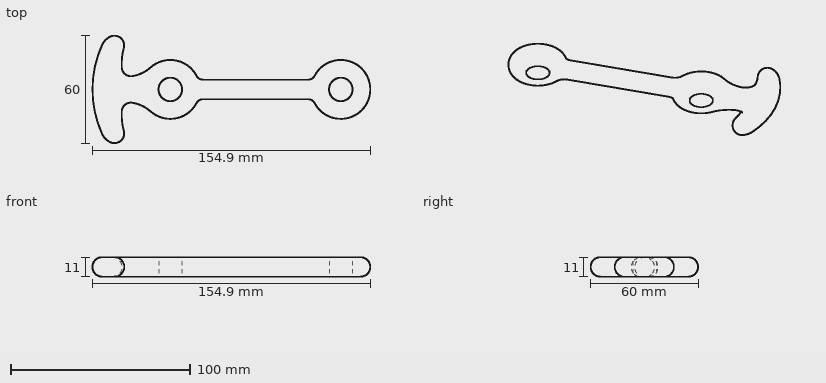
import cadquery as cq
import math


THICKNESS = 11.0
RIM = THICKNESS / 2
OVERALL_LENGTH = 154.94
HANDLE_WIDTH = 60.0
TOUCHING = 1e-6

EYE_SPACING = 95.0
EYE_RADIUS = 16.5
HOLE_DIAMETER = 13.0
NECK_FILLET = 4.0

GRIP_RADIUS = 60.0
SHOULDER_RADIUS = 10.0
TIP_X = -31.15
UNDERSIDE_RADIUS = 30.0
THROAT_RADIUS = 5.0
THROAT_X = -22.0
THROAT_Y = 12.4
WAIST_RADIUS = 20.0

eye_core = EYE_RADIUS - RIM
neck_core = NECK_FILLET + RIM
grip_core = GRIP_RADIUS - RIM
shoulder_core = SHOULDER_RADIUS - RIM
underside_core = UNDERSIDE_RADIUS + RIM
throat_core = THROAT_RADIUS + RIM
waist_core = WAIST_RADIUS + RIM


def circle_crossing(center_a, radius_a, center_b, radius_b):
    """Crossing of two circles that lies to the left of the direction from a to b."""
    dx = center_b[0] - center_a[0]
    dy = center_b[1] - center_a[1]
    distance = math.hypot(dx, dy)
    along = (radius_a**2 - radius_b**2 + distance**2) / (2 * distance)
    across = math.sqrt(radius_a**2 - along**2)
    ux = dx / distance
    uy = dy / distance
    return (center_a[0] + along * ux - across * uy, center_a[1] + along * uy + across * ux)


def heading(start, end):
    """Direction from start to end, in degrees from 0 to 360."""
    return math.degrees(math.atan2(end[1] - start[1], end[0] - start[0])) % 360


def polar(center, radius, angle):
    """Point on a circle at an angle in degrees."""
    turn = math.radians(angle)
    return (center[0] + radius * math.cos(turn), center[1] + radius * math.sin(turn))


left_eye = (0.0, 0.0)
right_eye = (EYE_SPACING, 0.0)
neck_reach = math.sqrt((eye_core + neck_core) ** 2 - neck_core**2)
neck_center = (neck_reach, neck_core)
far_neck_center = (EYE_SPACING - neck_reach, neck_core)
tip = (TIP_X, HANDLE_WIDTH / 2 - RIM)
grip_end_x = EYE_SPACING + EYE_RADIUS - OVERALL_LENGTH
grip_center = (grip_end_x + GRIP_RADIUS, 0.0)
shoulder_center = circle_crossing(grip_center, grip_core - shoulder_core, tip, shoulder_core)
throat_center = (THROAT_X, THROAT_Y)
throat_wall_x = THROAT_X - throat_core
underside_x = throat_wall_x + underside_core
underside_drop = math.sqrt(underside_core**2 - (underside_x - TIP_X) ** 2)
underside_center = (underside_x, tip[1] - underside_drop)
waist_center = circle_crossing(throat_center, waist_core - throat_core, left_eye, eye_core + waist_core)

neck_angle = heading(left_eye, neck_center)
waist_angle = heading(left_eye, waist_center)
throat_angle = heading(waist_center, throat_center)
underside_angle = heading(underside_center, tip)
shoulder_angle = heading(shoulder_center, tip)
grip_angle = heading(grip_center, shoulder_center)


def mirrored(arc):
    """The same core arc on the -Y side, running the opposite way."""
    center, radius, start, end, hollow = arc
    return ((center[0], -center[1]), radius, -end, -start, hollow)


handle_side = [
    (neck_center, neck_core, 270, 180 + neck_angle, True),
    (left_eye, eye_core, neck_angle, waist_angle, False),
    (waist_center, waist_core, 180 + waist_angle, throat_angle, True),
    (throat_center, throat_core, throat_angle, 180, True),
    (underside_center, underside_core, 180, underside_angle, True),
    (tip, 0, underside_angle - 180, shoulder_angle, False),
    (shoulder_center, shoulder_core, shoulder_angle, grip_angle, False),
    (grip_center, grip_core, grip_angle, 180, False),
]
handle_loop = handle_side + [mirrored(arc) for arc in reversed(handle_side)]

far_neck = (far_neck_center, neck_core, 360 - neck_angle, 270, True)
far_eye = (right_eye, eye_core, neck_angle - 180, 180 - neck_angle, False)
far_eye_loop = [mirrored(far_neck), far_eye, far_neck]


def core_plate(loop):
    """Full-thickness plate inside a closed loop of core arcs, joined by lines where they do not touch."""
    arcs = [arc for arc in loop if arc[1] > 0]
    center, radius, start, _, _ = arcs[0]
    position = polar(center, radius, start)
    outline = cq.Workplane("XY", origin=(0, 0, -RIM)).moveTo(*position)
    for center, radius, start, end, _ in arcs:
        begin = polar(center, radius, start)
        if math.dist(position, begin) > TOUCHING:
            outline = outline.lineTo(*begin)
        position = polar(center, radius, end)
        outline = outline.threePointArc(polar(center, radius, (start + end) / 2), position)
    return outline.close().extrude(THICKNESS)


def half_round(plane, base, outward):
    """Half-disc profile, drawn as two quarter arcs, bulging outward (+1 or -1) from base."""
    height = RIM * math.sin(math.pi / 4)
    bulge = outward * height
    return (
        cq.Workplane(plane)
        .moveTo(base, -RIM)
        .threePointArc((base + bulge, -height), (base + outward * RIM, 0))
        .threePointArc((base + bulge, height), (base, RIM))
        .close()
    )


def rim_along(arc):
    """Half-round rim following one core arc."""
    center, radius, start, end, hollow = arc
    start_angle = min(start, end)
    end_angle = max(start, end)
    profile = half_round("XZ", radius, -1 if hollow else 1)
    band = profile.revolve(end_angle - start_angle, (0, 0, 0), (0, 1, 0), clean=False)
    return band.rotate((0, 0, 0), (0, 0, 1), start_angle).translate((center[0], center[1], 0))


def rod_side(side):
    """Half of the rod, on the +Y (side = 1) or -Y (side = -1) side."""
    rod_length = far_neck_center[0] - neck_center[0]
    return half_round("YZ", 0, side).extrude(rod_length, clean=False).translate((neck_center[0], 0, 0))


def throat_wall(side):
    """Straight rim between the throat and the hollow under the handle tip."""
    length = underside_center[1] - THROAT_Y
    upper_end = underside_center[1] if side > 0 else -THROAT_Y
    wall = half_round("XZ", throat_wall_x, 1).extrude(length, clean=False)
    return wall.translate((0, upper_end, 0))


def hole(center):
    """Through hole of an eye."""
    return cq.Workplane("XY", origin=(*center, -RIM)).circle(HOLE_DIAMETER / 2).extrude(THICKNESS)


result = core_plate(handle_loop).union(core_plate(far_eye_loop), clean=False)
for arc in handle_loop + far_eye_loop:
    result = result.union(rim_along(arc), clean=False)
for side in (1, -1):
    result = result.union(rod_side(side), clean=False)
    result = result.union(throat_wall(side), clean=False)
for eye in (left_eye, right_eye):
    result = result.cut(hole(eye), clean=False)